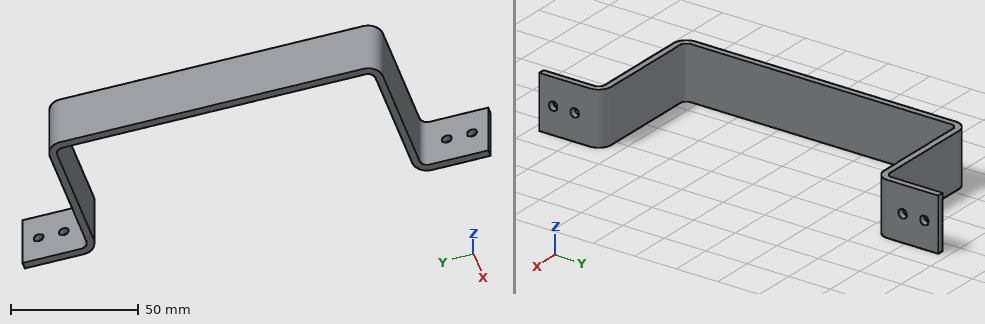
import cadquery as cq

length = 192.3
depth = 58.8
height = 25.4

thickness = 3.0
inner_radius = 3.0
outer_radius = inner_radius + thickness
grip_width = 137.5

hole_diameter = 4.0
end_to_first_hole = 6.7
hole_pitch = 10.4

half_length = length / 2
half_grip = grip_width / 2
front_x = -depth / 2
back_x = depth / 2


def make_strip():
    """Sharp-cornered hat profile, extruded and then rounded at its bends."""
    half_inside = half_grip - thickness
    half_outline = [
        (front_x, half_grip),
        (back_x - thickness, half_grip),
        (back_x - thickness, half_length),
        (back_x, half_length),
        (back_x, half_inside),
        (front_x + thickness, half_inside),
    ]
    mirrored = [(x, -y) for x, y in reversed(half_outline)]
    strip = (
        cq.Workplane("XY")
        .polyline(half_outline + mirrored)
        .close()
        .extrude(height / 2, both=True)
    )
    outer_corners = [(front_x, half_grip), (back_x, half_inside)]
    inner_corners = [(front_x + thickness, half_inside), (back_x - thickness, half_grip)]
    strip = round_bends(strip, outer_corners, outer_radius)
    return round_bends(strip, inner_corners, inner_radius)


def round_bends(body, corners, radius):
    """Fillet the vertical edges at the given corners and their mirror images."""
    for x, y in corners:
        for side in (-1, 1):
            edge = cq.selectors.NearestToPointSelector((x, side * y, 0))
            body = body.edges("|Z").edges(edge).fillet(radius)
    return body


def make_holes():
    """Pairs of screw holes through both tabs, at mid-height."""
    first_y = half_length - end_to_first_hole
    second_y = first_y - hole_pitch
    centres = [(side * y, 0) for side in (-1, 1) for y in (first_y, second_y)]
    return (
        cq.Workplane("YZ", origin=(back_x - thickness, 0, 0))
        .pushPoints(centres)
        .circle(hole_diameter / 2)
        .extrude(thickness)
    )


result = make_strip().cut(make_holes())